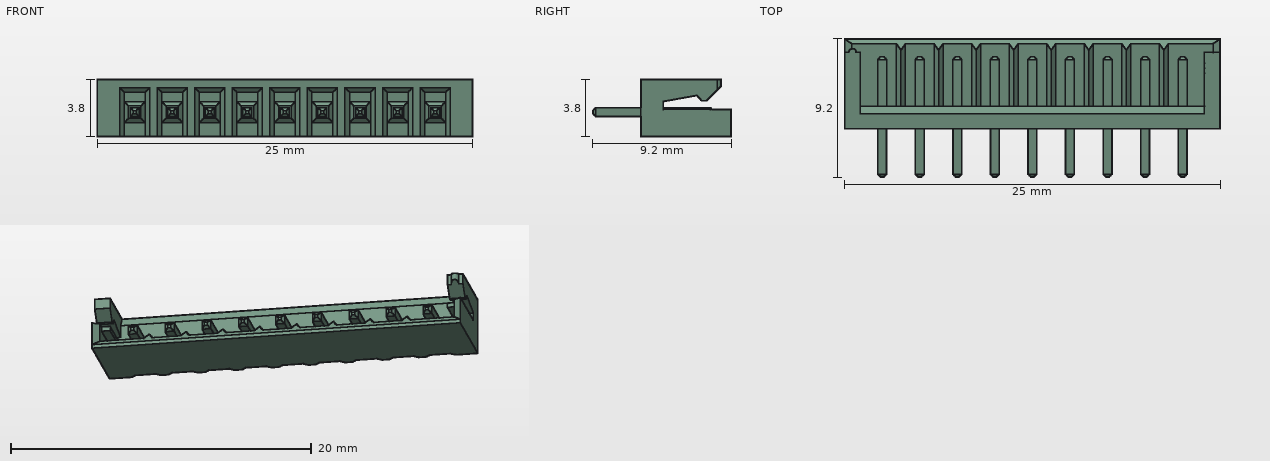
import cadquery as cq

LENGTH = 25.0
DEPTH = 6.0
HEIGHT = 3.8

PIN_COUNT = 9
PITCH = 2.5
PIN_WIDTH = 0.6
PIN_Z = 1.62
PIN_FRONT = 3.2
PIN_REAR = 4.82
PIN_TIP = 0.2

FLOOR_THICKNESS = 0.58
FRONT_WALL = 1.5
FRONT_TOP = 1.0
FRONT_SLOPE_DROP = 0.65
SIDE_WALL = 0.48
SIDE_HEIGHT = 1.8
MOUTH_CHAMFER = 0.32

RIDGE_HALF_WIDTH = 0.3
RIDGE_HEIGHT = 0.42

ARM_WIDTH = 1.05
ARM_END = 5.1
ARM_NOSE_TOP = 3.1
HOOK_FRONT = 4.05
HOOK_REAR = 4.38
HOOK_BOTTOM = 2.38
ARM_THIN_Y = 3.72
ARM_THIN_BOTTOM = 2.72
ARM_ROOT_BOTTOM = 2.32
LEDGE_THICKNESS = 0.3
KEY_RADIUS = 0.25

POCKET_WIDTH = 2.0
POCKET_TOP = 3.25
POCKET_DEPTH = 0.3
COLLAR_TOP_WIDTH = 0.82

middle_x = LENGTH / 2
pin_xs = [middle_x + (i - (PIN_COUNT - 1) / 2) * PITCH for i in range(PIN_COUNT)]
ridge_xs = [x + PITCH / 2 for x in pin_xs[:-1]]


def extrude_along_x(points, x_start, length):
    """Extrude a (Y, Z) outline along +X."""
    return cq.Workplane("YZ", origin=(x_start, 0, 0)).polyline(points).close().extrude(length)


def extrude_up(points, height):
    """Extrude an (X, Y) outline up from Z = 0."""
    return cq.Workplane("XY").polyline(points).close().extrude(height)


def mirror_to_right(left_side):
    """Mirrored copy of a left-hand feature at the right end."""
    return left_side.mirror("YZ", basePointVector=(middle_x, 0, 0))


def square_frustum(x, y_start, start_width, end_width, length):
    """Square section centred on a pin axis, going along +Y."""
    return (
        cq.Workplane("XZ", origin=(x, y_start, PIN_Z))
        .rect(start_width, start_width)
        .workplane(offset=-length)
        .rect(end_width, end_width)
        .loft(ruled=True)
    )


def make_base():
    """Floor with front wall, in one constant profile over the whole length."""
    profile = [
        (0, 0),
        (DEPTH, 0),
        (DEPTH, FLOOR_THICKNESS - MOUTH_CHAMFER),
        (DEPTH - MOUTH_CHAMFER, FLOOR_THICKNESS),
        (FRONT_WALL, FLOOR_THICKNESS),
        (FRONT_WALL, HEIGHT - FRONT_SLOPE_DROP),
        (FRONT_TOP, HEIGHT),
        (0, HEIGHT),
    ]
    return extrude_along_x(profile, 0, LENGTH)


def make_side_wall():
    """Low left side wall, flared at the mouth."""
    outline = [
        (0, 0),
        (SIDE_WALL, 0),
        (SIDE_WALL, DEPTH - MOUTH_CHAMFER),
        (0, DEPTH),
    ]
    return extrude_up(outline, SIDE_HEIGHT)


def arm_profile(end_y):
    """Latch arm outline; its 45 degree nose is carried on to end_y."""
    end_z = ARM_NOSE_TOP + end_y - ARM_END
    return [
        (0, HEIGHT),
        (end_y, HEIGHT),
        (end_y, end_z),
        (HOOK_REAR, HOOK_BOTTOM),
        (HOOK_FRONT, HOOK_BOTTOM),
        (ARM_THIN_Y, ARM_THIN_BOTTOM),
        (FRONT_WALL, ARM_ROOT_BOTTOM),
        (FRONT_WALL, 0),
        (0, 0),
    ]


def make_arm():
    """Left latch arm with its hook, joined to the front wall."""
    return extrude_along_x(arm_profile(ARM_END), 0, ARM_WIDTH)


def make_ledge():
    """Ledge on top of the left side wall, facing the latch arm across the slot."""
    ledge_bottom = SIDE_HEIGHT - LEDGE_THICKNESS
    workplane = cq.Workplane("XY", origin=(0, 0, ledge_bottom))
    return workplane.box(ARM_WIDTH, ARM_END, LEDGE_THICKNESS, centered=False)


def make_key():
    """Half-round key on the left arm, ending on the slope of the nose."""
    key_end = ARM_END + KEY_RADIUS
    post = cq.Workplane("XY").center(ARM_WIDTH / 2, ARM_END).circle(KEY_RADIUS).extrude(HEIGHT)
    return post.intersect(extrude_along_x(arm_profile(key_end), 0, ARM_WIDTH))


def make_ridge(x):
    """Triangular ridge along Y whose rear end follows the mouth chamfer."""
    section = [
        (x - RIDGE_HALF_WIDTH, FLOOR_THICKNESS),
        (x, FLOOR_THICKNESS + RIDGE_HEIGHT),
        (x + RIDGE_HALF_WIDTH, FLOOR_THICKNESS),
        (x + RIDGE_HALF_WIDTH, 0),
        (x - RIDGE_HALF_WIDTH, 0),
    ]
    ridge = cq.Workplane("XZ").polyline(section).close().extrude(-DEPTH)
    under_chamfer = [
        (0, 0),
        (DEPTH, 0),
        (DEPTH, FLOOR_THICKNESS - MOUTH_CHAMFER),
        (DEPTH - MOUTH_CHAMFER - RIDGE_HEIGHT, FLOOR_THICKNESS + RIDGE_HEIGHT),
        (0, FLOOR_THICKNESS + RIDGE_HEIGHT),
    ]
    return ridge.intersect(extrude_along_x(under_chamfer, 0, LENGTH))


def make_pocket(x):
    """Pocket with 45 degree top and sides, open at the bottom, less the collar of the pin."""
    bottom = -POCKET_DEPTH
    inner_width = POCKET_WIDTH - 2 * POCKET_DEPTH
    inner_top = POCKET_TOP - POCKET_DEPTH
    outer_centre = (POCKET_TOP + bottom) / 2
    inner_centre = (inner_top + bottom) / 2
    pocket = (
        cq.Workplane("XZ", origin=(x, 0, 0))
        .center(0, outer_centre)
        .rect(POCKET_WIDTH, POCKET_TOP - bottom)
        .workplane(offset=-POCKET_DEPTH)
        .center(0, inner_centre - outer_centre)
        .rect(inner_width, inner_top - bottom)
        .loft(ruled=True)
    )
    return pocket.cut(square_frustum(x, 0, COLLAR_TOP_WIDTH, inner_width, POCKET_DEPTH))


def make_pin(x):
    """Square pin with tapered ends."""
    tip_width = PIN_WIDTH - 2 * PIN_TIP
    shaft_start = PIN_TIP - PIN_FRONT
    shaft_end = PIN_REAR - PIN_TIP
    shaft = square_frustum(x, shaft_start, PIN_WIDTH, PIN_WIDTH, shaft_end - shaft_start)
    front_tip = square_frustum(x, -PIN_FRONT, tip_width, PIN_WIDTH, PIN_TIP)
    rear_tip = square_frustum(x, shaft_end, PIN_WIDTH, tip_width, PIN_TIP)
    return shaft.union(front_tip).union(rear_tip)


result = make_base()
for left_feature in (make_side_wall(), make_ledge(), make_arm()):
    result = result.union(left_feature).union(mirror_to_right(left_feature))
result = result.union(make_key())

for ridge_x in ridge_xs:
    result = result.union(make_ridge(ridge_x))

for pin_x in pin_xs:
    result = result.cut(make_pocket(pin_x)).union(make_pin(pin_x))